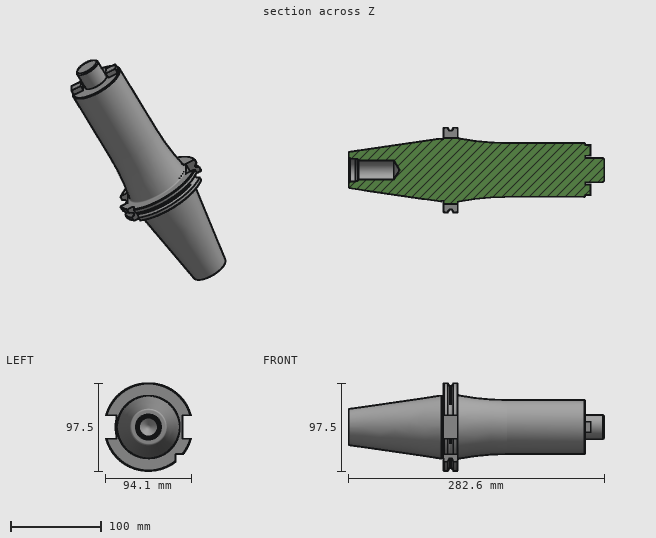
import cadquery as cq
import math


gauge_diameter = 69.85
taper_length = 101.6
taper_ratio = 7 / 24
shank_end_radius = (gauge_diameter - taper_length * taper_ratio) / 2
shank_end_fillet = 2.0

shank_land_start = -0.85
shank_land_end = 0.85
neck_start = 1.7
neck_radius = 34.0

flange_start = 3.2
flange_width = 15.9
flange_radius = 97.5 / 2
flange_edge_chamfer = 0.8
flange_end = flange_start + flange_width
groove_center = 11.1
groove_mouth_width = 6.5
groove_depth = 3.2
groove_wall_angle = 30
groove_floor_fillet = 1.0

drive_slot_width = 25.7
shallow_slot_floor = 37.7
deep_slot_floor = 35.5
notch_floor = 30.0
notch_corner_radius = 1.0

flare_start = flange_end + 1.6
flare_radius = 35.0
body_radius = 30.0
body_start = 73.7
body_end = 160.0
body_end_chamfer = 1.0

pilot_radius = 27 / 2
pilot_length = 21.0
pilot_chamfer = 1.5
key_width = 12.0
key_height = 6.0
key_inner = 15.8
key_outer = 27.7

hole_mouth_radius = 28 / 2
inner_cone_radius = 13.0
mouth_cone_angle = 60
inner_cone_angle = 120
counterbore_radius = 25 / 2
counterbore_depth = 7.5
relief_radius = 24 / 2
relief_depth = 9.8
bore_radius = 20.75 / 2
bore_depth = 50.0
drill_point_angle = 118


def turned_body():
    """Revolve the shank, flange, body and pilot about X."""
    shank_end = -taper_length
    pilot_end = body_end + pilot_length
    run = body_start - flare_start
    rise = flare_radius - body_radius
    arc_radius = (run**2 + rise**2) / (2 * rise)
    half_angle = math.asin(run / arc_radius) / 2
    arc_middle = (
        body_start - arc_radius * math.sin(half_angle),
        body_radius + arc_radius * (1 - math.cos(half_angle)),
    )
    land_radius = gauge_diameter / 2 + shank_land_start * taper_ratio / 2
    neck_fillet = flange_start - neck_start
    flange_fillet = flare_start - flange_end
    profile = (
        cq.Workplane("XY")
        .moveTo(shank_end, 0)
        .lineTo(shank_end, shank_end_radius)
        .lineTo(shank_land_start, land_radius)
        .lineTo(shank_land_end, land_radius)
        .lineTo(neck_start, neck_radius)
        .radiusArc((flange_start, neck_radius + neck_fillet), -neck_fillet)
        .lineTo(flange_start, flange_radius - flange_edge_chamfer)
        .lineTo(flange_start + flange_edge_chamfer, flange_radius)
        .lineTo(flange_end - flange_edge_chamfer, flange_radius)
        .lineTo(flange_end, flange_radius - flange_edge_chamfer)
        .lineTo(flange_end, flare_radius + flange_fillet)
        .radiusArc((flare_start, flare_radius), -flange_fillet)
        .threePointArc(arc_middle, (body_start, body_radius))
        .lineTo(body_end - body_end_chamfer, body_radius)
        .lineTo(body_end, body_radius - body_end_chamfer)
        .lineTo(body_end, pilot_radius)
        .lineTo(pilot_end - pilot_chamfer, pilot_radius)
        .lineTo(pilot_end, pilot_radius - pilot_chamfer)
        .lineTo(pilot_end, 0)
        .close()
    )
    turned = profile.revolve(360, (0, 0, 0), (1, 0, 0))
    return turned.faces("<X").edges().fillet(shank_end_fillet)


def gripper_groove():
    """Ring with the trapezoidal section of the groove around the flange rim."""
    half_mouth = groove_mouth_width / 2
    half_floor = half_mouth - groove_depth * math.tan(math.radians(groove_wall_angle))
    floor_radius = flange_radius - groove_depth
    profile = cq.Workplane("XY").polyline(
        [
            (groove_center - half_mouth, flange_radius),
            (groove_center - half_floor, floor_radius),
            (groove_center + half_floor, floor_radius),
            (groove_center + half_mouth, flange_radius),
        ]
    ).close()
    ring = profile.revolve(360, (0, 0, 0), (1, 0, 0))
    floor_edges = cq.selectors.RadiusNthSelector(0)
    return ring.edges("%CIRCLE").edges(floor_edges).fillet(groove_floor_fillet)


def flange_cutter(y_range, z_range):
    """Box across the flange width, spanning the given Y and Z ranges."""
    y_low, y_high = y_range
    z_low, z_high = z_range
    return cq.Workplane("XY").box(
        flange_width, y_high - y_low, z_high - z_low, centered=False
    ).translate((flange_start, y_low, z_low))


def flange_cutouts():
    """Two drive slots of unequal depth and one orientation notch."""
    half_slot = drive_slot_width / 2
    shallow = flange_cutter((-flange_radius, -shallow_slot_floor), (-half_slot, half_slot))
    deep = flange_cutter((deep_slot_floor, flange_radius), (-half_slot, half_slot))
    notch = flange_cutter((-flange_radius, -notch_floor), (-flange_radius, -notch_floor))
    notch = notch.edges("|X and >Y and >Z").fillet(notch_corner_radius)
    return shallow.union(deep).union(notch)


def drive_keys():
    """Pair of rectangular keys on the body's end face."""
    key_depth = key_outer - key_inner
    key_center = (key_outer + key_inner) / 2
    return (
        cq.Workplane("YZ", origin=(body_end, 0, 0))
        .pushPoints([(-key_center, 0), (key_center, 0)])
        .rect(key_depth, key_width)
        .extrude(key_height)
    )


def cone_length(large_radius, small_radius, included_angle):
    """Axial length of a cone between two radii."""
    return (large_radius - small_radius) / math.tan(math.radians(included_angle / 2))


def drawbar_hole():
    """Stepped blind hole with a two-angle countersink and a drill point."""
    mouth = -taper_length
    mouth_cone_end = mouth + cone_length(
        hole_mouth_radius, inner_cone_radius, mouth_cone_angle
    )
    inner_cone_end = mouth_cone_end + cone_length(
        inner_cone_radius, counterbore_radius, inner_cone_angle
    )
    step = mouth + counterbore_depth
    relief_end = mouth + relief_depth
    lead_in_end = relief_end + relief_radius - bore_radius
    bore_end = mouth + bore_depth
    point_end = bore_end + cone_length(bore_radius, 0, drill_point_angle)
    profile = cq.Workplane("XY").polyline(
        [
            (mouth, 0),
            (mouth, hole_mouth_radius),
            (mouth_cone_end, inner_cone_radius),
            (inner_cone_end, counterbore_radius),
            (step, counterbore_radius),
            (step, relief_radius),
            (relief_end, relief_radius),
            (lead_in_end, bore_radius),
            (bore_end, bore_radius),
            (point_end, 0),
        ]
    ).close()
    return profile.revolve(360, (0, 0, 0), (1, 0, 0))


result = (
    turned_body()
    .cut(gripper_groove())
    .cut(flange_cutouts())
    .cut(drawbar_hole())
    .union(drive_keys())
)